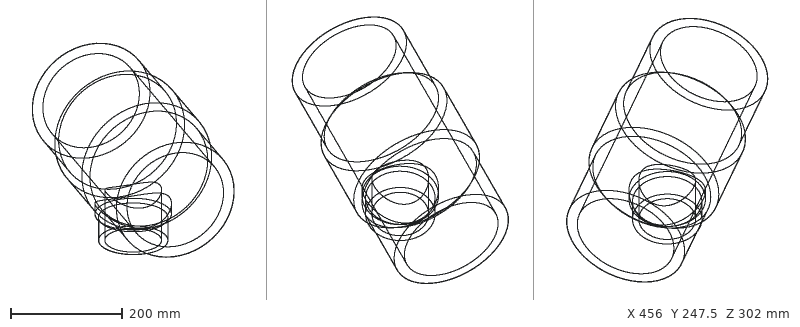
import cadquery as cq

pipe_length = 456.0
pipe_diameter = 225.0
pipe_bore = 184.0

sleeve_diameter = 247.5
sleeve_length = 169.0
sleeve_chamfer = (sleeve_diameter - pipe_diameter) / 2

total_height = 302.0
branch_diameter = 125.0
branch_bore = 102.0
branch_reach = total_height - sleeve_diameter / 2
collar_diameter = 137.5
collar_reach = 132.5
collar_chamfer = (collar_diameter - branch_diameter) / 2


def cylinder_along_x(diameter, length):
    return cq.Workplane("YZ").workplane(offset=-length / 2).circle(diameter / 2).extrude(length)


def cylinder_down(diameter, length):
    return cq.Workplane("XY").circle(diameter / 2).extrude(-length)


pipe = cylinder_along_x(pipe_diameter, pipe_length)
sleeve = cylinder_along_x(sleeve_diameter, sleeve_length).faces("<X or >X").chamfer(sleeve_chamfer)
branch = cylinder_down(branch_diameter, branch_reach)
collar = cylinder_down(collar_diameter, collar_reach).faces("<Z").chamfer(collar_chamfer)

body = pipe.union(sleeve).union(collar).union(branch)

result = body.cut(cylinder_along_x(pipe_bore, pipe_length)).cut(cylinder_down(branch_bore, branch_reach))